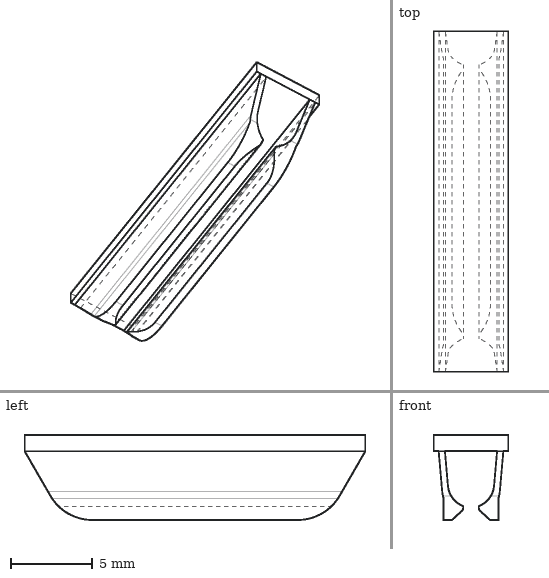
import cadquery as cq
import math

PLATE_WIDTH = 4.6
PLATE_LENGTH = 21.0
PLATE_THICKNESS = 1.0
TOTAL_HEIGHT = 5.25

LEG_OUTER_TOP = 2.0
LEG_THICKNESS = 0.4
LEG_LEAN = math.radians(5)
LEG_OUTER_FOOT = 1.7
OUTER_BEND_RADIUS = 2.0
OUTER_BEND_START_Z = -3.47

INNER_BEND_RADIUS = 1.45
INNER_BEND_START_Z = -3.15
FOOT_FLAT_INNER = 1.18
HOOK_TIP_X = 0.47
HOOK_TIP_BOTTOM_Z = -4.6
HOOK_TIP_RADIUS = 0.25

END_SLOPE = math.radians(30)
END_CORNER_RADIUS = 3.0

FOOT_Z = -TOTAL_HEIGHT
LEG_TOP_Z = -PLATE_THICKNESS


def make_plate():
    """Flat cover plate hanging down from Z = 0."""
    return cq.Workplane("XY").rect(PLATE_WIDTH, PLATE_LENGTH).extrude(-PLATE_THICKNESS)


def leaning_x(top_x, z):
    """X of a leaning leg face at height z, given its X under the plate."""
    return top_x - (LEG_TOP_Z - z) * math.tan(LEG_LEAN)


def point_on_arc(center, radius, angle):
    """Point at the given angle below the +X direction."""
    return (center[0] + radius * math.cos(angle), center[1] - radius * math.sin(angle))


def bend_center(start, radius):
    """Centre of an arc that leaves a leaning leg face tangentially at start."""
    return (start[0] - radius * math.cos(LEG_LEAN), start[1] + radius * math.sin(LEG_LEAN))


def make_leg():
    """Leg on the +X side as a full-length extrusion whose hook tip is rounded below."""
    inner_top = LEG_OUTER_TOP - LEG_THICKNESS

    outer_start = (leaning_x(LEG_OUTER_TOP, OUTER_BEND_START_Z), OUTER_BEND_START_Z)
    outer_center = bend_center(outer_start, OUTER_BEND_RADIUS)
    outer_end_angle = math.acos((LEG_OUTER_FOOT - outer_center[0]) / OUTER_BEND_RADIUS)
    outer_mid = point_on_arc(outer_center, OUTER_BEND_RADIUS, (LEG_LEAN + outer_end_angle) / 2)
    outer_end = point_on_arc(outer_center, OUTER_BEND_RADIUS, outer_end_angle)

    inner_start = (leaning_x(inner_top, INNER_BEND_START_Z), INNER_BEND_START_Z)
    inner_center = bend_center(inner_start, INNER_BEND_RADIUS)
    tip_angle = math.acos((HOOK_TIP_X - inner_center[0]) / INNER_BEND_RADIUS)
    inner_mid = point_on_arc(inner_center, INNER_BEND_RADIUS, (LEG_LEAN + tip_angle) / 2)
    tip_top = point_on_arc(inner_center, INNER_BEND_RADIUS, tip_angle)

    leg = (
        cq.Workplane("XZ")
        .moveTo(inner_top, LEG_TOP_Z)
        .lineTo(LEG_OUTER_TOP, LEG_TOP_Z)
        .lineTo(*outer_start)
        .threePointArc(outer_mid, outer_end)
        .lineTo(LEG_OUTER_FOOT, FOOT_Z)
        .lineTo(FOOT_FLAT_INNER, FOOT_Z)
        .lineTo(HOOK_TIP_X, HOOK_TIP_BOTTOM_Z)
        .lineTo(*tip_top)
        .threePointArc(inner_mid, inner_start)
        .close()
        .extrude(PLATE_LENGTH / 2, both=True)
    )
    lower_tip_edge = cq.NearestToPointSelector((HOOK_TIP_X, 0, HOOK_TIP_BOTTOM_Z))
    return leg.edges(lower_tip_edge).fillet(HOOK_TIP_RADIUS)


def make_end_envelope():
    """Trapezoid with rounded lower corners that shapes both ends of the legs."""
    top_half = PLATE_LENGTH / 2
    foot_half = top_half - (LEG_TOP_Z - FOOT_Z) * math.tan(END_SLOPE)
    corners = [
        (-top_half, LEG_TOP_Z),
        (top_half, LEG_TOP_Z),
        (foot_half, FOOT_Z),
        (-foot_half, FOOT_Z),
    ]
    return (
        cq.Workplane("YZ")
        .polyline(corners)
        .close()
        .extrude(PLATE_WIDTH / 2, both=True)
        .edges("|X and <Z")
        .fillet(END_CORNER_RADIUS)
    )


right_leg = make_leg().intersect(make_end_envelope())
left_leg = right_leg.mirror("YZ")
result = make_plate().union(right_leg).union(left_leg)